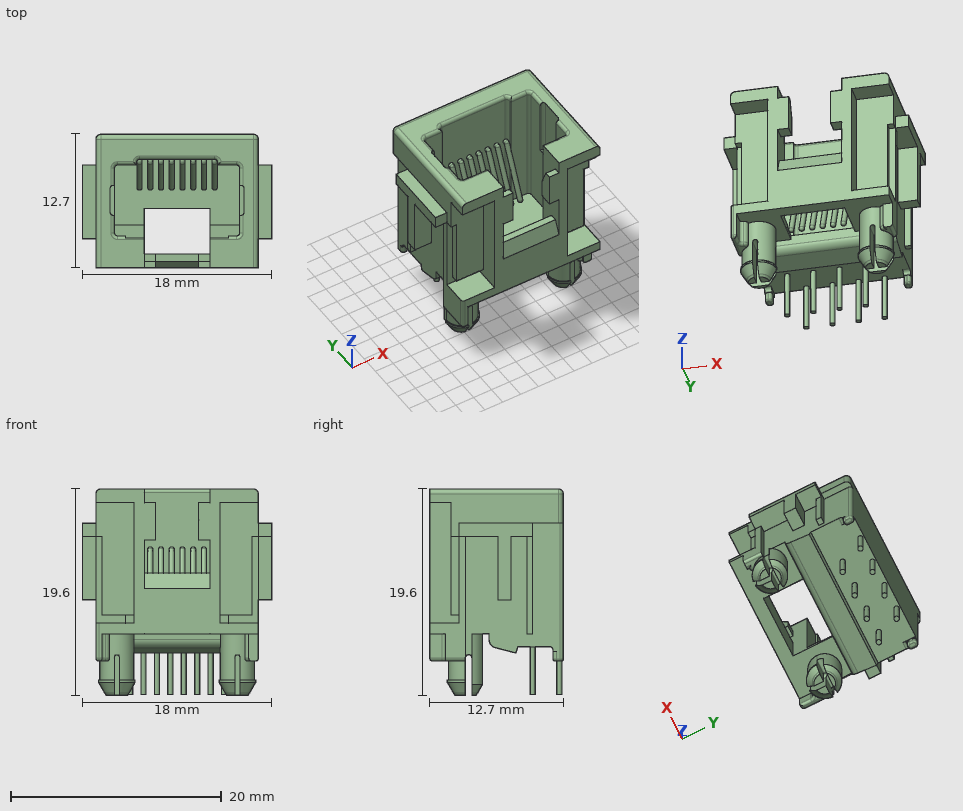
import cadquery as cq
import math


TOTAL_WIDTH = 18.0
DEPTH = 12.7
HEIGHT = 19.6
HEAD_HALF = 7.72
CORE_HALF = 7.11
HEAD_BOTTOM = 16.35
HEAD_ROUND = 0.49
CORE_ROUND = 0.31
FLANGE_BOTTOM = 5.85
FRONT_DEPTH = 3.4

STEP_Y = 5.63
STEP_ARC_START_Z = 5.3
STEP_ARC_END = (6.23, 4.5)
KEEL = (8.2, 4.0)
CORE_BOTTOM = 4.6
KEEL_BACK_Y = 8.37

NOTCH_INNER_X = 4.1
NOTCH_DEPTH = 2.0
NOTCH_DEEP_DEPTH = 2.76
NOTCH_BOTTOM = 6.85
NOTCH_TOP = 18.29
NOTCH_STEP_Z = 7.6

RAIL_HALF = TOTAL_WIDTH / 2
RAIL_BOTTOM = 15.05
RAIL_FRONT = NOTCH_DEEP_DEPTH
RAIL_BACK = 9.78
RIB_FRONT = 6.47
RIB_BACK = 7.7
RIB_BOTTOM = 9.05
STRIP_FRONT = 9.23

CAVITY_HALF = 5.94
CAVITY_FRONT = 3.04
CAVITY_BACK = 9.76
CAVITY_CORNER = 0.3
CAVITY_FLOOR = 6.27
RIM_ROUND = 0.33
BAY_HALF = 3.85
BAY_BACK = 10.3
SHELF_BACK = 4.1
SHELF_HEIGHT = 0.3
GROOVE_DEPTH = 0.41
GROOVE_FRONT = 5.0
GROOVE_BACK = 7.84
GROOVE_BOTTOM = 13.43
GROOVE_ROUND = 0.27
RELIEF_HALF = 4.88
RELIEF_FRONT = 2.85

WINDOW_HALF = 3.12
SILL_DEPTH = 1.33
SILL_Z = 11.6
SILL_FLAT_FRONT = 0.63
SILL_SLOPE_BOTTOM = 10.13
STOP_INNER_X = 2.04
STOP_BOTTOM = 14.74
STOP_BACK_TOP = 16.66

CONTACT_COUNT = 8
CONTACT_PITCH = 1.02
CONTACT_RADIUS = 0.25
CONTACT_ELBOW = (10.05, 13.84)
CONTACT_EMBED = 0.2
CONTACT_FOOT = (7.65, 8.23)

PIN_COUNT = 8
PIN_PITCH = 1.27
PIN_RADIUS = 0.25
PIN_BOTTOM = 0.05
PIN_ROWS_Y = (9.78, 12.3)
PIN_TOP = 5.88

LEG_BOTTOM = 3.23
LEG_ROUND = 0.31
LEG_BOTTOM_ROUND = 0.3
REAR_LEG_BOTTOM_ROUND = 0.2
LEG_INNER_X = 6.4
LEG_COLUMN_FRONT = 1.49
LEG_INNER_ROUND = 0.4
RIGHT_PAD_DEPTH = 0.2
REAR_LEG_FRONT = 11.7
REAR_LEG_ROUND_TOP = 4.15
REAR_LEG_FILLET = 0.35

PEG_X = 5.72
PEG_Y = FRONT_DEPTH
PEG_RADIUS = 1.63
PEG_FLARE_RADIUS = 1.75
PEG_FLARE_TOP = 1.45
PEG_FLARE_BOTTOM = 1.23
PEG_TIP_RADIUS = 1.02
PEG_CONE_RADIUS = 1.18
PEG_CONE_BOTTOM = 0.24
SLOT_BACK = 4.0
SLOT_TOP = 3.85
PEG_GROOVE_WIDTH = 0.47
PEG_SEAM_ANGLE = 45

SIDES = (-1, 1)


def block(x0, x1, y0, y1, z0, z1):
    """Box between opposite corners; the two X values may come in either order."""
    size = (abs(x1 - x0), y1 - y0, z1 - z0)
    return cq.Workplane("XY").box(*size, centered=False).translate((min(x0, x1), y0, z0))


def side_profile(half_width):
    """Workplane for a YZ outline that is extruded 2 * half_width along +X."""
    return cq.Workplane("YZ", origin=(-half_width, 0, 0))


def make_head():
    head = block(-HEAD_HALF, HEAD_HALF, 0, DEPTH, HEAD_BOTTOM, HEIGHT)
    return head.edges("(|Z and >Y) or (>Z and (not <Y))").fillet(HEAD_ROUND)


def make_core():
    core = (
        side_profile(CORE_HALF)
        .moveTo(0, FLANGE_BOTTOM)
        .lineTo(STEP_Y, FLANGE_BOTTOM)
        .lineTo(STEP_Y, STEP_ARC_START_Z)
        .tangentArcPoint(STEP_ARC_END, relative=False)
        .lineTo(*KEEL)
        .lineTo(KEEL_BACK_Y, CORE_BOTTOM)
        .lineTo(DEPTH, CORE_BOTTOM)
        .lineTo(DEPTH, HEAD_BOTTOM)
        .lineTo(0, HEAD_BOTTOM)
        .close()
        .extrude(2 * CORE_HALF)
    )
    return core.edges("|Z and >Y").fillet(CORE_ROUND)


def make_front():
    """Full-width front block, rounded only at its left front edge."""
    front = block(-HEAD_HALF, HEAD_HALF, 0, FRONT_DEPTH, FLANGE_BOTTOM, HEAD_BOTTOM)
    return front.edges("|Z and <X and <Y").fillet(CORE_ROUND)


def make_side_details(side):
    """Rail with its hanging rib, and the upright strip behind it."""
    rail = block(side * CORE_HALF, side * RAIL_HALF, RAIL_FRONT, RAIL_BACK, RAIL_BOTTOM, HEAD_BOTTOM)
    rib = block(side * CORE_HALF, side * RAIL_HALF, RIB_FRONT, RIB_BACK, RIB_BOTTOM, RAIL_BOTTOM)
    strip = block(side * CORE_HALF, side * HEAD_HALF, STRIP_FRONT, RAIL_BACK, FLANGE_BOTTOM, RAIL_BOTTOM)
    return rail.union(rib).union(strip)


def make_notch(side):
    """Cutter for the stepped front corner recess."""
    inner, outer = side * NOTCH_INNER_X, side * RAIL_HALF
    notch = block(inner, outer, 0, NOTCH_DEPTH, NOTCH_BOTTOM, NOTCH_TOP)
    foot = block(inner, outer, 0, NOTCH_DEEP_DEPTH, NOTCH_BOTTOM, NOTCH_STEP_Z)
    edge = block(side * CORE_HALF, outer, 0, NOTCH_DEEP_DEPTH, NOTCH_BOTTOM, RAIL_BOTTOM)
    return notch.union(foot).union(edge)


def make_flared_pocket(half_width, front, back):
    """Cutter with rounded corners whose mouth widens along a quarter round."""
    pocket = block(-half_width, half_width, front, back, CAVITY_FLOOR, HEIGHT)
    pocket = pocket.edges("|Z").fillet(CAVITY_CORNER)
    margin = 2 * RIM_ROUND
    plate = block(
        -half_width - margin, half_width + margin, front - margin, back + margin, HEIGHT - margin, HEIGHT
    )
    rim_edges = cq.selectors.BoxSelector(
        (-half_width - RIM_ROUND, front - RIM_ROUND, HEIGHT - RIM_ROUND),
        (half_width + RIM_ROUND, back + RIM_ROUND, HEIGHT + RIM_ROUND),
        boundingbox=True,
    )
    rounded_frame = plate.cut(pocket).edges(rim_edges).fillet(RIM_ROUND)
    return pocket.union(plate.cut(rounded_frame))


def make_cavity():
    main = make_flared_pocket(CAVITY_HALF, CAVITY_FRONT, CAVITY_BACK)
    bay = make_flared_pocket(BAY_HALF, CAVITY_FRONT + RIM_ROUND, BAY_BACK)
    return main.union(bay)


def make_wall_groove(side):
    inner, outer = side * WINDOW_HALF, side * (CAVITY_HALF + GROOVE_DEPTH)
    groove = block(inner, outer, GROOVE_FRONT, GROOVE_BACK, GROOVE_BOTTOM, HEIGHT)
    return groove.edges("|Z").fillet(GROOVE_ROUND)


def make_window():
    """Latch opening: upper slot through the front, and a hole down through the floor."""
    slot = (
        side_profile(WINDOW_HALF)
        .moveTo(0, SILL_SLOPE_BOTTOM)
        .lineTo(SILL_FLAT_FRONT, SILL_Z)
        .lineTo(STEP_Y, SILL_Z)
        .lineTo(STEP_Y, HEIGHT)
        .lineTo(0, HEIGHT)
        .close()
        .extrude(2 * WINDOW_HALF)
    )
    hole = block(-WINDOW_HALF, WINDOW_HALF, SILL_DEPTH, STEP_Y, 0, SILL_Z)
    return slot.union(hole)


def make_latch_stop(side):
    width = WINDOW_HALF - STOP_INNER_X
    stop = (
        cq.Workplane("YZ")
        .polyline([
            (0, STOP_BOTTOM),
            (SILL_DEPTH, STOP_BOTTOM),
            (SILL_DEPTH, STOP_BACK_TOP),
            (SILL_FLAT_FRONT, NOTCH_TOP),
            (0, NOTCH_TOP),
        ])
        .close()
        .extrude(width)
    )
    start = STOP_INNER_X if side > 0 else -WINDOW_HALF
    return stop.translate((start, 0, 0))


def make_contact(x):
    """Round wire that leaves the back wall, turns at a ball elbow and leans down to a ball end."""
    foot = cq.Vector(x, *CONTACT_FOOT)
    elbow = cq.Vector(x, *CONTACT_ELBOW)
    lean = elbow - foot
    wire = cq.Workplane(cq.Solid.makeCylinder(CONTACT_RADIUS, lean.Length, foot, lean))
    root_length = BAY_BACK + CONTACT_EMBED - elbow.y
    root = cq.Solid.makeCylinder(CONTACT_RADIUS, root_length, elbow, cq.Vector(0, 1, 0))
    wire = wire.union(cq.Workplane(root))
    for end in (foot, elbow):
        wire = wire.union(cq.Workplane("XY").sphere(CONTACT_RADIUS).translate(end.toTuple()))
    return wire


def make_pin(x, y):
    return cq.Workplane("XY", origin=(x, y, PIN_BOTTOM)).circle(PIN_RADIUS).extrude(PIN_TOP - PIN_BOTTOM)


def make_rear_leg(side):
    """Rounded foot under the back corner, flared into the underside by a concave fillet."""
    inner, outer = side * LEG_INNER_X, side * CORE_HALF
    foot = block(inner, outer, REAR_LEG_FRONT, DEPTH, LEG_BOTTOM, REAR_LEG_ROUND_TOP)
    foot = foot.edges("|Z").fillet(LEG_ROUND).faces("<Z").edges().fillet(REAR_LEG_BOTTOM_ROUND)
    fillet_bottom = CORE_BOTTOM - REAR_LEG_FILLET
    fillet_middle = REAR_LEG_FILLET * (1 - math.sqrt(0.5))
    neck = (
        cq.Workplane("YZ", origin=(min(inner, outer), 0, 0))
        .moveTo(REAR_LEG_FRONT - REAR_LEG_FILLET, CORE_BOTTOM)
        .threePointArc(
            (REAR_LEG_FRONT - fillet_middle, CORE_BOTTOM - fillet_middle),
            (REAR_LEG_FRONT, fillet_bottom),
        )
        .lineTo(REAR_LEG_FRONT, REAR_LEG_ROUND_TOP)
        .lineTo(DEPTH, REAR_LEG_ROUND_TOP)
        .lineTo(DEPTH, CORE_BOTTOM)
        .close()
        .extrude(abs(outer - inner))
    )
    back_edge = ("<X" if side < 0 else ">X") + " and >Y and |Z"
    return foot.union(neck.edges(back_edge).fillet(CORE_ROUND))


def make_left_leg():
    """Full-depth outer wall that swells through an S-curve into a wider column."""
    inflection_x = -LEG_INNER_X - LEG_INNER_ROUND
    swell_start_y = LEG_COLUMN_FRONT - (CORE_HALF + inflection_x)
    leg = (
        cq.Workplane("XY", origin=(0, 0, LEG_BOTTOM))
        .moveTo(-HEAD_HALF, 0)
        .lineTo(-CORE_HALF, 0)
        .lineTo(-CORE_HALF, swell_start_y)
        .tangentArcPoint((inflection_x, LEG_COLUMN_FRONT), relative=False)
        .tangentArcPoint((-LEG_INNER_X, LEG_COLUMN_FRONT + LEG_INNER_ROUND), relative=False)
        .lineTo(-LEG_INNER_X, FRONT_DEPTH)
        .lineTo(-HEAD_HALF, FRONT_DEPTH)
        .close()
        .extrude(FLANGE_BOTTOM - LEG_BOTTOM)
    )
    leg = leg.edges("|Z and <X and <Y").fillet(CORE_ROUND)
    return leg.edges("<Z and (not >Y)").fillet(LEG_BOTTOM_ROUND)


def make_right_leg():
    """Pad set back behind the flange, with a wider round-cornered column behind it."""
    column_inner, pad_inner = LEG_INNER_X, LEG_INNER_X + LEG_INNER_ROUND
    column_front = LEG_COLUMN_FRONT + RIGHT_PAD_DEPTH
    pad = block(pad_inner, HEAD_HALF, LEG_COLUMN_FRONT, FRONT_DEPTH, LEG_BOTTOM, FLANGE_BOTTOM)
    pad = pad.edges("|Y and <Z").fillet(LEG_BOTTOM_ROUND)
    column = block(column_inner, HEAD_HALF, column_front, FRONT_DEPTH, LEG_BOTTOM, FLANGE_BOTTOM)
    column = column.edges("|Z and <X and <Y").fillet(LEG_INNER_ROUND)
    column = column.edges("<Z and (not >Y)").fillet(LEG_BOTTOM_ROUND)
    return pad.union(column)


def make_peg(side):
    """Split board peg: flared front half, plain back half, slots open at the tip."""
    profile = [
        (0, 0),
        (PEG_TIP_RADIUS, 0),
        (PEG_CONE_RADIUS, PEG_CONE_BOTTOM),
        (PEG_FLARE_RADIUS, PEG_FLARE_BOTTOM),
        (PEG_FLARE_RADIUS, PEG_FLARE_TOP),
        (PEG_RADIUS, PEG_FLARE_TOP),
        (PEG_RADIUS, FLANGE_BOTTOM),
        (0, FLANGE_BOTTOM),
    ]
    peg = cq.Workplane("XZ").polyline(profile).close().revolve(360, (0, 0), (0, 1))
    peg = peg.rotate((0, 0, 0), (0, 0, 1), PEG_SEAM_ANGLE)
    plain_back = cq.Workplane("XY").circle(PEG_RADIUS).extrude(FLANGE_BOTTOM)
    front_half = block(-PEG_FLARE_RADIUS, PEG_FLARE_RADIUS, -PEG_FLARE_RADIUS, 0, 0, FLANGE_BOTTOM)
    peg = peg.intersect(plain_back.union(front_half)).translate((side * PEG_X, PEG_Y, 0))

    slot_width = SLOT_BACK - PEG_Y
    slot_radius = slot_width / 2
    slot_spring_z = SLOT_TOP - slot_radius
    slot = (
        cq.Workplane("YZ", origin=(side * PEG_X - PEG_FLARE_RADIUS, 0, 0))
        .moveTo(PEG_Y, 0)
        .lineTo(PEG_Y, slot_spring_z)
        .threePointArc((PEG_Y + slot_radius, SLOT_TOP), (SLOT_BACK, slot_spring_z))
        .lineTo(SLOT_BACK, 0)
        .close()
        .extrude(2 * PEG_FLARE_RADIUS)
    )
    groove_radius = PEG_GROOVE_WIDTH / 2
    groove_spring_z = SLOT_TOP - groove_radius
    groove = (
        cq.Workplane("XZ", origin=(side * PEG_X, SLOT_BACK, 0))
        .moveTo(-groove_radius, 0)
        .lineTo(-groove_radius, groove_spring_z)
        .threePointArc((0, SLOT_TOP), (groove_radius, groove_spring_z))
        .lineTo(groove_radius, 0)
        .close()
        .extrude(SLOT_BACK)
    )
    web_trim = block(side * CORE_HALF, side * RAIL_HALF, PEG_Y, SLOT_BACK, 0, FLANGE_BOTTOM)
    return peg.cut(slot).cut(groove).cut(web_trim)


def make_shell():
    """Housing with its cavity, notches and latch window, without legs or metal parts."""
    shell = make_head().union(make_core()).union(make_front())
    for side in SIDES:
        shell = shell.union(make_side_details(side)).cut(make_notch(side))
    shell = shell.cut(make_cavity())
    relief_back = CAVITY_FRONT + RIM_ROUND
    relief = block(-RELIEF_HALF, RELIEF_HALF, RELIEF_FRONT, relief_back, CAVITY_FLOOR, HEIGHT)
    shelf_top = CAVITY_FLOOR + SHELF_HEIGHT
    shelf = block(-CAVITY_HALF, CAVITY_HALF, RELIEF_FRONT, SHELF_BACK, FLANGE_BOTTOM, shelf_top)
    shell = shell.cut(relief).union(shelf)
    for side in SIDES:
        shell = shell.cut(make_wall_groove(side))
    shell = shell.cut(make_window())
    for side in SIDES:
        shell = shell.union(make_latch_stop(side))
    return shell


def centred_positions(count, pitch):
    return [(i - (count - 1) / 2) * pitch for i in range(count)]


result = make_shell().union(make_left_leg()).union(make_right_leg())
for side in SIDES:
    result = result.union(make_rear_leg(side)).union(make_peg(side))
for x in centred_positions(CONTACT_COUNT, CONTACT_PITCH):
    result = result.union(make_contact(x))
for i, x in enumerate(centred_positions(PIN_COUNT, PIN_PITCH)):
    result = result.union(make_pin(x, PIN_ROWS_Y[i % 2]))